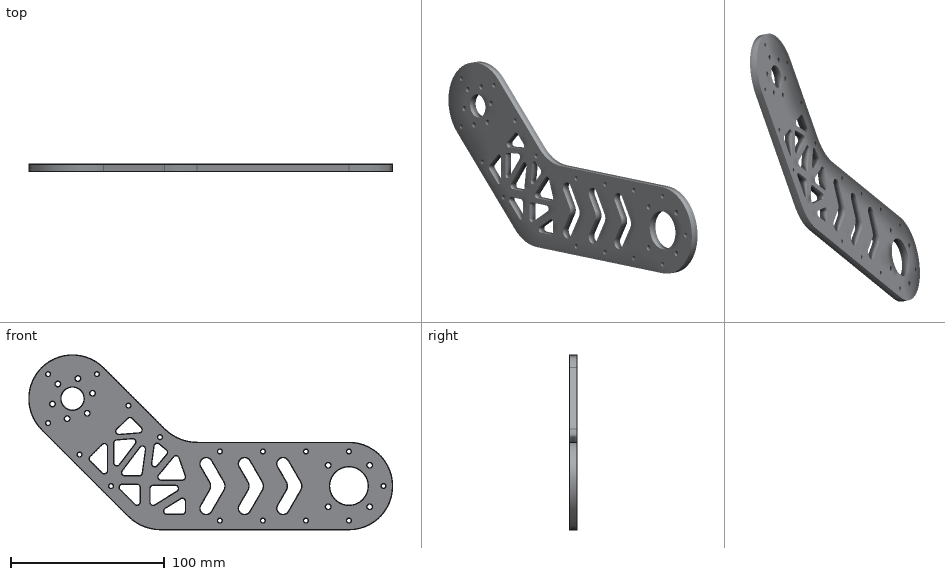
import math

import cadquery as cq

thickness = 5.0
half_width = 28.5
bend_angle = 45.0
elbow_x = -123.0
raised_arm_rise = 56.89
elbow_radius = 30.0

main_bore_diameter = 25.0
main_screw_radius = 19.1
main_screw_count = 4
main_screw_start = 45.0
motor_bore_diameter = 15.0
motor_screw_radius = 13.5
motor_screw_count = 6
motor_screw_start = 15.0
screw_diameter = 3.5

edge_hole_diameter = 3.0
edge_hole_offset = 22.5
level_hole_pitch = 28.0
level_hole_columns = 4
raised_hole_pitch = 29.0
raised_hole_columns = 3

chevron_count = 3
chevron_pitch = 25.0
chevron_width = 8.0
chevron_slope = 60.0
chevron_half_height = 14.5
first_chevron_tip_x = -84.5
chevron_bend_radius = 5.5

window_corner_radius = 2.0
windows = [
    [(-142.5, 45.4), (-132.2, 35.0), (-155.0, 33.2)],
    [(-157.2, 30.4), (-169.8, 17.8), (-157.2, 5.2)],
    [(-153.0, 29.8), (-136.4, 31.1), (-153.0, 9.3)],
    [(-131.4, 31.4), (-149.9, 6.7), (-134.8, 6.7)],
    [(-126.3, 29.7), (-117.3, 22.2), (-129.2, 8.0)],
    [(-111.8, 21.7), (-126.5, 3.9), (-105.6, 3.9)],
    [(-152.3, 1.1), (-135.9, 1.1), (-135.9, -15.3)],
    [(-129.4, 0.4), (-106.0, 0.4), (-129.4, -14.2)],
    [(-106.4, -6.4), (-125.5, -18.3), (-106.4, -18.3)],
]

bend = math.radians(bend_angle)
along = (-math.cos(bend), math.sin(bend))
across = (math.sin(bend), math.cos(bend))
raised_arm_length = raised_arm_rise / math.sin(bend)


def raised_point(distance, offset):
    """Point at a distance from the elbow along the raised arm, shifted sideways."""
    x = elbow_x + distance * along[0] + offset * across[0]
    z = distance * along[1] + offset * across[1]
    return (x, z)


motor_center = raised_point(raised_arm_length, 0)


def extrude(sketch):
    """Extrude an XZ sketch through the plate, from Y = 0 to Y = thickness."""
    return sketch.extrude(-thickness)


def round_holes(points, diameter):
    return extrude(cq.Workplane("XZ").pushPoints(points).circle(diameter / 2))


def circle_points(center, radius, count, start_angle):
    angles = [math.radians(start_angle + i * 360 / count) for i in range(count)]
    return [(center[0] + radius * math.cos(a), center[1] + radius * math.sin(a)) for a in angles]


def plate():
    miter = half_width * math.tan(bend / 2)
    outline = (
        cq.Workplane("XZ")
        .moveTo(0, -half_width)
        .threePointArc((half_width, 0), (0, half_width))
        .lineTo(elbow_x + miter, half_width)
        .lineTo(*raised_point(raised_arm_length, half_width))
        .threePointArc(
            raised_point(raised_arm_length + half_width, 0),
            raised_point(raised_arm_length, -half_width),
        )
        .lineTo(elbow_x - miter, -half_width)
        .close()
    )
    body = extrude(outline)
    for side in (1, -1):
        corner = (elbow_x + side * miter, thickness / 2, side * half_width)
        corner_edge = cq.selectors.NearestToPointSelector(corner)
        body = body.edges("|Y").edges(corner_edge).fillet(elbow_radius)
    return body


def edge_hole_points():
    points = [(edge_hole_offset, 0)]
    for side in (edge_hole_offset, -edge_hole_offset):
        for i in range(level_hole_columns):
            points.append((-i * level_hole_pitch, side))
        for i in range(raised_hole_columns):
            points.append(raised_point(raised_arm_length - i * raised_hole_pitch, side))
    points.append(raised_point(raised_arm_length + edge_hole_offset, 0))
    return points


def triangle_window(corners):
    prism = extrude(cq.Workplane("XZ").polyline(corners).close())
    return prism.edges("|Y").fillet(window_corner_radius)


def chevron_slot(tip_x):
    """Slot whose centreline bends at (tip_x, 0)."""
    slope = math.radians(chevron_slope)
    radius = chevron_width / 2
    end_x = tip_x - chevron_half_height / math.tan(slope)
    normal = (radius * math.sin(slope), radius * math.cos(slope))
    cap = (radius * math.cos(slope), radius * math.sin(slope))
    tip_shift = radius / math.sin(slope)
    top = chevron_half_height
    slot = extrude(
        cq.Workplane("XZ")
        .moveTo(tip_x + tip_shift, 0)
        .lineTo(end_x + normal[0], top + normal[1])
        .threePointArc((end_x - cap[0], top + cap[1]), (end_x - normal[0], top - normal[1]))
        .lineTo(tip_x - tip_shift, 0)
        .lineTo(end_x - normal[0], normal[1] - top)
        .threePointArc((end_x - cap[0], -top - cap[1]), (end_x + normal[0], -top - normal[1]))
        .close()
    )
    for shift in (tip_shift, -tip_shift):
        corner_edge = cq.selectors.NearestToPointSelector((tip_x + shift, thickness / 2, 0))
        slot = slot.edges("|Y").edges(corner_edge).fillet(chevron_bend_radius)
    return slot


main_screws = circle_points((0, 0), main_screw_radius, main_screw_count, main_screw_start)
motor_screws = circle_points(motor_center, motor_screw_radius, motor_screw_count, motor_screw_start)

result = plate()
result = result.cut(round_holes([(0, 0)], main_bore_diameter))
result = result.cut(round_holes([motor_center], motor_bore_diameter))
result = result.cut(round_holes(main_screws + motor_screws, screw_diameter))
result = result.cut(round_holes(edge_hole_points(), edge_hole_diameter))
for window in windows:
    result = result.cut(triangle_window(window))
for i in range(chevron_count):
    result = result.cut(chevron_slot(first_chevron_tip_x + i * chevron_pitch))